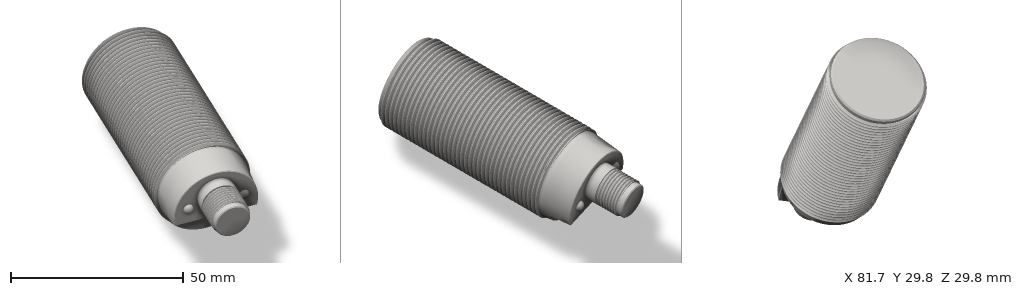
import cadquery as cq
import math

TOTAL_LENGTH = 81.7
BARREL_THREAD_START = 1.7
BARREL_THREAD_END = 58.1
TAPER_START = 59.3
STEP_X = 61.0
HOUSING_END = 68.7
PLUG_NECK_END = 72.2
PLUG_THREAD_START = 72.4
PLUG_THREAD_END = 79.8

BARREL_MAJOR_RADIUS = 14.92
BARREL_PITCH = 1.5
BARREL_MINOR_RADIUS = 14.08
BARREL_CREST_X = 3.0
FACE_RADIUS = 13.6
FACE_BEVEL_LENGTH = 0.5

HOUSING_END_RADIUS = 13.2
STEP_Z = -3.1
STEP_FILLET = 0.3
HOUSING_EDGE_CHAMFER = 0.2

PLUG_Z = 4.9
PLUG_MAJOR_RADIUS = 6.0
PLUG_MINOR_RADIUS = 5.48
PLUG_PITCH = 1.0
PLUG_CREST_X = 73.0
PLUG_TIP_CHAMFER = 0.3

DOME_Y = 8.75
DOME_Z = 2.3
DOME_RADIUS = 1.55
DOME_HEIGHT = 1.4

FLANK_ANGLE = math.radians(30)
CREST_FLAT_RATIO = 1 / 8
RIDGE_EMBEDMENT = 0.08


def revolve_along_x(profile):
    """Solid of revolution about X from (x, radius) points, its seam on the -Y side."""
    points = [(x, -radius) for x, radius in profile]
    return cq.Workplane("XY").polyline(points).close().revolve(360, (0, 0, 0), (1, 0, 0))


def thread_ridge(start, end, major_radius, minor_radius, pitch, crest_x):
    """Right-handed helical ridge around the X axis, its foot sunk below the thread root."""
    base_radius = minor_radius - RIDGE_EMBEDMENT
    crest_half = pitch * CREST_FLAT_RATIO / 2
    base_half = crest_half + (major_radius - base_radius) * math.tan(FLANK_ANGLE)

    turns_before = math.ceil((crest_x - start) / pitch) + 1
    ridge_start = crest_x - turns_before * pitch
    turns = math.ceil((end - ridge_start) / pitch) + 1

    profile = [
        (base_radius, -base_half),
        (major_radius, -crest_half),
        (major_radius, crest_half),
        (base_radius, base_half),
    ]
    edges = [
        cq.Wire.makeHelix(pitch, turns * pitch, radius).translate(cq.Vector(0, 0, offset))
        for radius, offset in profile
    ]
    faces = [cq.Face.makeRuledSurface(edges[i - 1], edges[i]) for i in range(len(edges))]
    for corners in ([edge.startPoint() for edge in edges], [edge.endPoint() for edge in edges]):
        faces.append(cq.Face.makeFromWires(cq.Wire.makePolygon(corners, close=True)))
    ridge = (
        cq.Workplane(cq.Solid.makeSolid(cq.Shell.makeShell(faces)))
        .rotate((0, 0, 0), (0, 0, 1), 180)
        .rotate((0, 0, 0), (0, 1, 0), 90)
        .translate((ridge_start, 0, 0))
    )
    envelope = (
        cq.Workplane("YZ")
        .workplane(offset=start)
        .rect(3 * major_radius, 3 * major_radius)
        .extrude(end - start)
    )
    return ridge.intersect(envelope)


def housing():
    """Plain barrel and tapered rear end, the lower rear part cut back to a short collar."""
    body = revolve_along_x([
        (0, 0),
        (0, FACE_RADIUS),
        (FACE_BEVEL_LENGTH, BARREL_MINOR_RADIUS),
        (TAPER_START, BARREL_MINOR_RADIUS),
        (HOUSING_END, HOUSING_END_RADIUS),
        (HOUSING_END, 0),
    ])
    notch_depth = 2 * BARREL_MAJOR_RADIUS
    notch = (
        cq.Workplane("XY")
        .box(notch_depth, 2 * notch_depth, notch_depth, centered=(False, True, False))
        .edges("<X and >Z")
        .fillet(STEP_FILLET)
        .translate((STEP_X, 0, STEP_Z - notch_depth))
    )
    return body.cut(notch).faces(">X").chamfer(HOUSING_EDGE_CHAMFER)


def connector_plug():
    """Plain neck, thread core and chamfered tip of the connector."""
    return revolve_along_x([
        (HOUSING_END, 0),
        (HOUSING_END, PLUG_MAJOR_RADIUS),
        (PLUG_NECK_END, PLUG_MAJOR_RADIUS),
        (PLUG_NECK_END, PLUG_MINOR_RADIUS),
        (TOTAL_LENGTH - PLUG_TIP_CHAMFER, PLUG_MINOR_RADIUS),
        (TOTAL_LENGTH, PLUG_MINOR_RADIUS - PLUG_TIP_CHAMFER),
        (TOTAL_LENGTH, 0),
    ]).translate((0, 0, PLUG_Z))


def indicator_dome(y):
    """Shallow spherical cap standing on the rear face."""
    sphere_radius = (DOME_RADIUS**2 + DOME_HEIGHT**2) / (2 * DOME_HEIGHT)
    center_x = HOUSING_END + DOME_HEIGHT - sphere_radius
    return cq.Workplane("XY").sphere(sphere_radius).translate((center_x, y, DOME_Z))


barrel_ridge = thread_ridge(
    BARREL_THREAD_START,
    BARREL_THREAD_END,
    BARREL_MAJOR_RADIUS,
    BARREL_MINOR_RADIUS,
    BARREL_PITCH,
    BARREL_CREST_X,
)
plug_ridge = thread_ridge(
    PLUG_THREAD_START,
    PLUG_THREAD_END,
    PLUG_MAJOR_RADIUS,
    PLUG_MINOR_RADIUS,
    PLUG_PITCH,
    PLUG_CREST_X,
).translate((0, 0, PLUG_Z))

result = housing().union(connector_plug().union(plug_ridge, clean=False), clean=False)
for side in (-1, 1):
    result = result.union(indicator_dome(side * DOME_Y), clean=False)
result = result.union(barrel_ridge, clean=False)